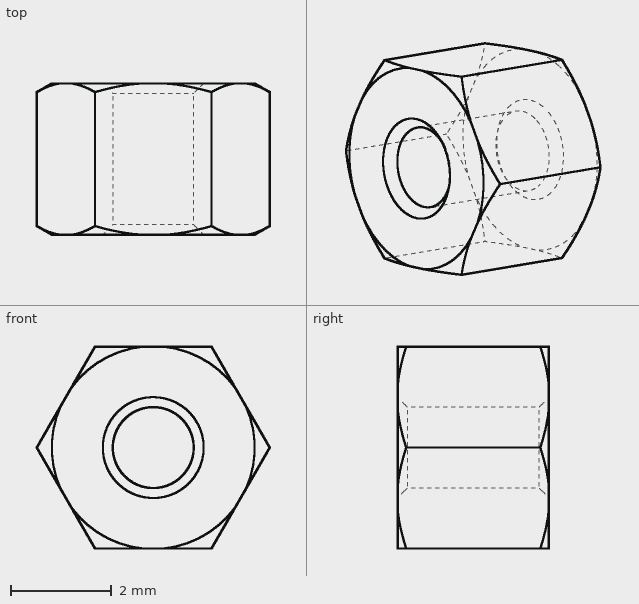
import cadquery as cq
import math

side_count = 6
across_flats = 4.0
thickness = 3.0
end_face_diameter = 4.02
corner_chamfer_angle = 30.0
bore_diameter = 1.6
countersink_diameter = 2.0
countersink_half_angle = 45.0

half_thickness = thickness / 2
corner_radius = across_flats / 2 / math.cos(math.pi / side_count)
end_face_radius = end_face_diameter / 2
corner_drop = (corner_radius - end_face_radius) * math.tan(math.radians(corner_chamfer_angle))
bore_radius = bore_diameter / 2
countersink_radius = countersink_diameter / 2
countersink_depth = (countersink_radius - bore_radius) / math.tan(math.radians(countersink_half_angle))


def turned_body(end_radius, middle_radius, cone_length):
    """Body turned about Y: a cylinder with a cone at each end that leads to the end radius."""
    cone_start = half_thickness - cone_length
    outline = [
        (0, -half_thickness),
        (end_radius, -half_thickness),
        (middle_radius, -cone_start),
        (middle_radius, cone_start),
        (end_radius, half_thickness),
        (0, half_thickness),
    ]
    return cq.Workplane("XY").polyline(outline).close().revolve(360, (0, 0, 0), (0, 1, 0))


def hex_prism():
    """Hexagonal prism with corners on +X and -X, centred on the origin."""
    return cq.Workplane("XZ").polygon(side_count, 2 * corner_radius).extrude(half_thickness, both=True)


def chamfer_envelope():
    """Turned body whose conical ends trim the hexagon corners."""
    return turned_body(end_face_radius, corner_radius, corner_drop)


def countersunk_bore():
    """Through bore that opens into a countersink at both ends."""
    return turned_body(countersink_radius, bore_radius, countersink_depth)


result = hex_prism().intersect(chamfer_envelope()).cut(countersunk_bore())